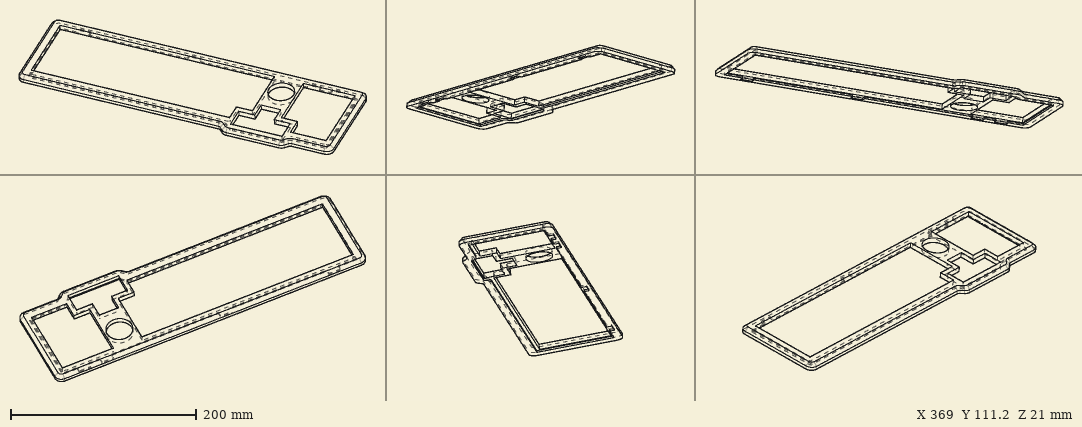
import cadquery as cq

length = 369.0
depth = 104.5
thickness = 8.0
edge_chamfer = thickness / 2
corner_radius = thickness
tilt_angle = 7.0

bump_left = 238.5
bump_right = 321.0
bump_depth = 7.0
bump_root_radius = corner_radius / 2

bump_roots = [(bump_left, 0), (bump_right, 0)]
outline_points = [
    (0, 0),
    bump_roots[0],
    (bump_left + bump_depth, -bump_depth),
    (bump_right - bump_depth, -bump_depth),
    bump_roots[1],
    (length, 0),
    (length, depth),
    (0, depth),
]

window_left = 11.8
window_right = length - 11.0
window_front = 13.3
window_back = depth - 11.8
bridge_left = 263.5
bridge_right = 297.5
housing_left = 244.5
housing_right = 316.3
housing_back = 32.0

wide_left = 250.0
wide_right = 310.5
wide_front = 3.7
wide_back = 26.2
narrow_left = 268.5
narrow_right = 291.5
narrow_back = 44.0

hole_diameter = 29.0
hole_x = (bridge_left + bridge_right) / 2
hole_y = 71.5

pocket_depth = 2.0
rim_width = 9.5
pocket_back = depth - rim_width
notch_centers = [37.5, 166.8, 307.8, 335.0]
notch_length = 13.5
notch_depth = 5.5
notch_mouth_radius = 2.0 / 2


def block(x_min, x_max, y_min, y_max, height):
    """Upright block standing on z = 0."""
    size_x = x_max - x_min
    size_y = y_max - y_min
    return cq.Workplane("XY").box(size_x, size_y, height, centered=False).translate((x_min, y_min, 0))


def plate_outline():
    """Main rectangle with the bump on its front edge, corners still sharp."""
    return cq.Workplane("XY").polyline(outline_points).close()


def blank():
    """Solid plate with rounded corners and a chamfered upper rim."""
    plate = plate_outline().extrude(thickness)
    for x, y in outline_points:
        radius = bump_root_radius if (x, y) in bump_roots else corner_radius
        corner = cq.selectors.NearestToPointSelector((x, y, thickness / 2))
        plate = plate.edges("|Z").edges(corner).fillet(radius)
    return plate.faces(">Z").chamfer(edge_chamfer)


def windows():
    """Window opening on both sides of the bridge and its housing."""
    opening = block(window_left, window_right, window_front, window_back, thickness)
    bridge = block(bridge_left, bridge_right, window_front, window_back, thickness)
    housing = block(housing_left, housing_right, window_front, housing_back, thickness)
    return opening.cut(bridge).cut(housing)


def stepped_cutout():
    wide = block(wide_left, wide_right, wide_front, wide_back, thickness)
    narrow = block(narrow_left, narrow_right, wide_front, narrow_back, thickness)
    return wide.union(narrow)


def round_hole():
    return cq.Workplane("XY").center(hole_x, hole_y).circle(hole_diameter / 2).extrude(thickness)


def underside_pocket():
    """Pocket that follows the outline, with notches whose mouths are rounded."""
    pocket = plate_outline().offset2D(-rim_width).extrude(pocket_depth)
    for x in notch_centers:
        left = x - notch_length / 2
        right = x + notch_length / 2
        notch = block(left, right, pocket_back - notch_depth, pocket_back + notch_depth, pocket_depth)
        pocket = pocket.union(notch)
        for mouth_x in (left, right):
            mouth = cq.selectors.NearestToPointSelector((mouth_x, pocket_back, pocket_depth / 2))
            pocket = pocket.edges("|Z").edges(mouth).fillet(notch_mouth_radius)
    return pocket


flat_plate = blank().cut(windows()).cut(underside_pocket()).cut(stepped_cutout()).cut(round_hole())
result = flat_plate.rotate((0, 0, 0), (1, 0, 0), tilt_angle)